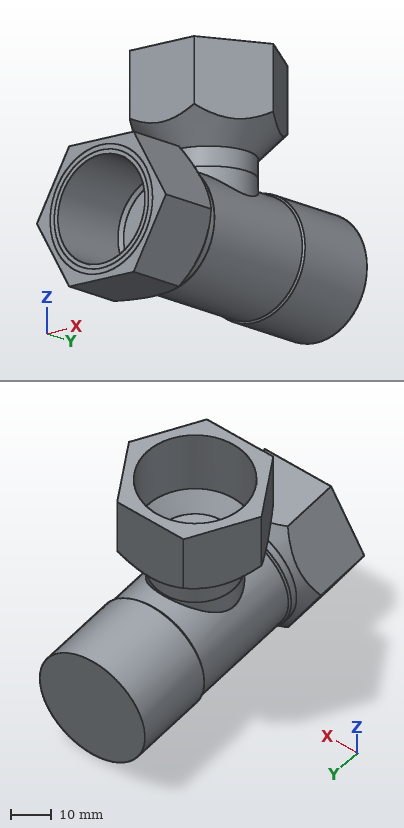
import cadquery as cq
import math

RUN_LENGTH = 82.4
RUN_DIAMETER = 32.0
COLLAR_DIAMETER = 33.0
COLLAR_LENGTH = 24.3
COLLAR_CHAMFER = (COLLAR_DIAMETER - RUN_DIAMETER) / 2
NECK_DIAMETER = 24.5
STUB_TOP = COLLAR_DIAMETER / 2

LINER_OUTER = 30.3
LINER_BORE = 28.0
LINER_LENGTH = 23.1
BORE_END_CHAMFER = 1.0

HEX_ACROSS_CORNERS = 41.5
HEX_ACROSS_FLATS = HEX_ACROSS_CORNERS * math.cos(math.pi / 6)
NUT_CORNER_LENGTH = 17.4

BRANCH_TOTAL_HEIGHT = 65.5
BRANCH_TOP = BRANCH_TOTAL_HEIGHT - HEX_ACROSS_FLATS / 2
BRANCH_BORE = 30.3
BRANCH_BORE_DEPTH = 19.0
FUNNEL_FLOOR_DIAMETER = 21.5
FUNNEL_DEPTH = (BRANCH_BORE - FUNNEL_FLOOR_DIAMETER) / 2


def revolve_profile(points):
    """Solid of revolution about Z from (radius, height) points."""
    return cq.Workplane("XZ").polyline(points).close().revolve(360, (0, 0), (0, 1))


def cylinder(diameter, height):
    """Cylinder standing on the XY plane."""
    return cq.Workplane("XY").circle(diameter / 2).extrude(height)


def place_on_front(body):
    """Turn a body's open face from Z = 0 to the front end of the run, inward along +Y."""
    return body.rotate((0, 0, 0), (1, 0, 0), -90).translate((0, -RUN_LENGTH / 2, 0))


def nut_blank(end_diameter):
    """Hexagon nut with its open face at Z = 0, coned down to end_diameter at its far end."""
    corner = HEX_ACROSS_CORNERS / 2
    end_radius = end_diameter / 2
    length = NUT_CORNER_LENGTH + corner - end_radius
    hexagon = cq.Workplane("XY").polygon(6, HEX_ACROSS_CORNERS).extrude(length)
    envelope = revolve_profile([
        (0, 0),
        (corner, 0),
        (corner, NUT_CORNER_LENGTH),
        (end_radius, length),
        (0, length),
    ])
    return hexagon.intersect(envelope)


def make_tee():
    run_radius = RUN_DIAMETER / 2
    collar_radius = COLLAR_DIAMETER / 2
    rear_collar_start = RUN_LENGTH - COLLAR_LENGTH
    run = revolve_profile([
        (0, 0),
        (collar_radius, 0),
        (collar_radius, COLLAR_LENGTH - COLLAR_CHAMFER),
        (run_radius, COLLAR_LENGTH),
        (run_radius, rear_collar_start),
        (collar_radius, rear_collar_start + COLLAR_CHAMFER),
        (collar_radius, RUN_LENGTH),
        (0, RUN_LENGTH),
    ])
    liner_seat = cylinder(LINER_OUTER, LINER_LENGTH)
    bore = cylinder(LINER_BORE, LINER_LENGTH + BORE_END_CHAMFER)
    bore = bore.faces(">Z").edges().chamfer(BORE_END_CHAMFER)
    stub = cylinder(NECK_DIAMETER, STUB_TOP)
    solid_tee = place_on_front(run).union(stub)
    return solid_tee.cut(place_on_front(liner_seat.union(bore)))


def make_liner():
    tube = cylinder(LINER_OUTER, LINER_LENGTH).cut(cylinder(LINER_BORE, LINER_LENGTH))
    return place_on_front(tube)


def make_front_nut():
    nut = nut_blank(COLLAR_DIAMETER)
    return place_on_front(nut.cut(cylinder(COLLAR_DIAMETER, RUN_LENGTH)))


def make_branch_nut():
    bore_radius = BRANCH_BORE / 2
    floor_depth = BRANCH_BORE_DEPTH + FUNNEL_DEPTH
    bore = revolve_profile([
        (0, 0),
        (bore_radius, 0),
        (bore_radius, BRANCH_BORE_DEPTH),
        (FUNNEL_FLOOR_DIAMETER / 2, floor_depth),
        (0, floor_depth),
    ])
    neck = cylinder(NECK_DIAMETER, BRANCH_TOP - STUB_TOP)
    nut = nut_blank(NECK_DIAMETER).union(neck).cut(bore)
    return nut.rotate((0, 0, 0), (1, 0, 0), 180).translate((0, 0, BRANCH_TOP))


tee = make_tee()
liner = make_liner()
front_nut = make_front_nut()
branch_nut = make_branch_nut()

result = cq.Compound.makeCompound([
    tee.val(),
    liner.val(),
    front_nut.val(),
    branch_nut.val(),
])